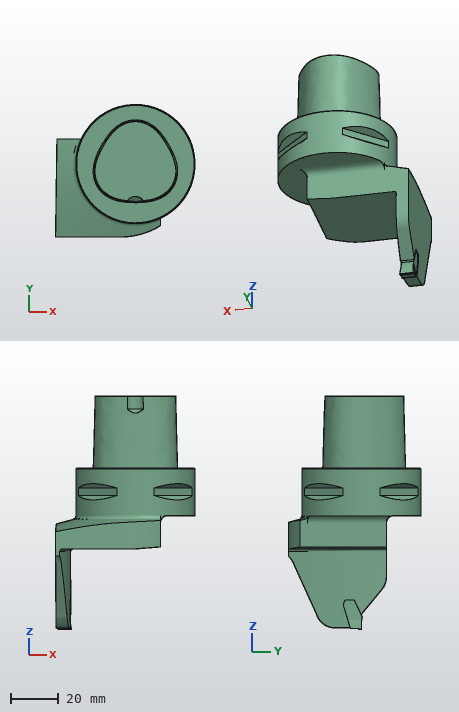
import cadquery as cq
import math

overall_height = 97.6
shank_height = 30.1
shank_mean_radius = 17.4
shank_lobe = 1.2
shank_taper = 0.8
shank_points = 24
notch_radius = 3.9
notch_axis_y = -17.5
notch_depth = 5.5
notch_cone_height = 3.1

flange_radius = 50.0 / 2
flange_height = 20.0
flange_chamfer = 0.4
groove_floor_radius = 22.3
groove_center_z = -10.0
groove_floor_height = 3.0
groove_mouth_height = 6.8
groove_angles = (45, 135, 225, 315)

outer_x_front = -33.5
outer_x_back = -32.9
block_front_y = -30.5
block_back_y = 10.5
block_right_x = 10.5
block_bottom_z = -34.0
block_relief_x = -0.5
block_relief_rise = 0.9
block_front_arc_start_x = -5.3
block_front_arc_mid = (3.4, -29.1)
block_right_front_y = -25.8
root_fillet = 2.9
neck_fillet_radius = 1.6
shoulder_slope = math.radians(15)

blade_inner_x = -27.0
blade_inner_radius = 97.6
blade_inner_center_y = -0.8
blade_bottom_z = -67.0
blade_root_fillet = 1.0
blade_tip_back_y = -0.1
blade_tip_back_z = -61.4
blade_back_arc = ((block_back_y, -45.5), (10.0, -48.5), (8.4, -51.1))
blade_tip_arc = ((-11.6, blade_bottom_z), (-16.1, -65.2), (-18.8, -61.2))
blade_front_arc = ((-28.1, -40.8), (-29.4, -38.3), (block_front_y, -36.9))

insert_outer_x = -32.8
insert_inner_x = -27.4
insert_tip_inner_x = -26.7
insert_flare_z = -63.4
insert_bottom_z = shank_height - overall_height
insert_tip_y = 0.1
insert_heel_y = -1.3
insert_heel_z = -67.2
insert_end_z = -55.2
insert_shoulder = ((insert_tip_y, -63.8), (0.4, -62.5), (blade_tip_back_y, blade_tip_back_z))
insert_end_back_y = -3.0
insert_end_arc = ((-6.7, insert_end_z), (-7.4, -56.8), (-7.2, -58.7))
insert_front_y = -4.6
insert_relief_radius = 3.1
insert_relief_rise = 0.7
insert_relief_depth = 0.3

margin = 9.8
pick_gap = 0.1


def lobed_points(mean_radius):
    points = []
    for i in range(shank_points):
        angle = 2 * math.pi * i / shank_points
        radius = mean_radius + shank_lobe * math.cos(3 * (angle - math.pi / 2))
        points.append((radius * math.cos(angle), radius * math.sin(angle)))
    return points


def make_shank():
    shank = (
        cq.Workplane("XY")
        .spline(lobed_points(shank_mean_radius), periodic=True).close()
        .workplane(offset=shank_height)
        .spline(lobed_points(shank_mean_radius - shank_taper), periodic=True).close()
        .loft(ruled=True)
    )
    notch_bottom = shank_height - notch_depth
    notch = (
        cq.Workplane("XZ")
        .moveTo(0, notch_bottom - notch_cone_height)
        .lineTo(notch_radius, notch_bottom)
        .lineTo(notch_radius, shank_height + margin)
        .lineTo(0, shank_height + margin)
        .close()
        .revolve(360, (0, 0, 0), (0, 1, 0))
        .translate((0, notch_axis_y, 0))
    )
    return shank.cut(notch)


def make_groove(angle):
    slope = (groove_mouth_height - groove_floor_height) / 2 / (flange_radius - groove_floor_radius)
    outer_radius = flange_radius + margin
    outer_half = groove_floor_height / 2 + slope * (outer_radius - groove_floor_radius)
    return (
        cq.Workplane("XZ")
        .polyline([
            (groove_floor_radius, groove_center_z - groove_floor_height / 2),
            (outer_radius, groove_center_z - outer_half),
            (outer_radius, groove_center_z + outer_half),
            (groove_floor_radius, groove_center_z + groove_floor_height / 2),
        ])
        .close()
        .extrude(flange_radius, both=True)
        .rotate((0, 0, 0), (0, 0, 1), angle)
    )


def make_flange():
    flange = cq.Workplane("XY").circle(flange_radius).extrude(-flange_height)
    flange = flange.faces(">Z").chamfer(flange_chamfer)
    for angle in groove_angles:
        flange = flange.cut(make_groove(angle))
    return flange


def make_shoulder_envelope():
    """Turned body: a concave neck fillet running into a shallow conical shoulder."""
    turn = math.pi / 2 - shoulder_slope
    end_radius = flange_radius + neck_fillet_radius * (1 - math.cos(turn))
    end_z = -flange_height - neck_fillet_radius * math.sin(turn)
    mid_radius = flange_radius + neck_fillet_radius * (1 - math.cos(turn / 2))
    mid_z = -flange_height - neck_fillet_radius * math.sin(turn / 2)
    rim_radius = math.hypot(outer_x_front, block_front_y) + margin
    rim_z = end_z - (rim_radius - end_radius) * math.tan(shoulder_slope)
    return (
        cq.Workplane("XZ")
        .moveTo(0, -flange_height)
        .lineTo(flange_radius, -flange_height)
        .threePointArc((mid_radius, mid_z), (end_radius, end_z))
        .lineTo(rim_radius, rim_z)
        .lineTo(rim_radius, insert_bottom_z)
        .lineTo(0, insert_bottom_z)
        .close()
        .revolve(360, (0, 0, 0), (0, 1, 0))
    )


def make_block():
    plan = (
        cq.Workplane("XY").workplane(offset=block_bottom_z)
        .moveTo(outer_x_front, block_front_y)
        .lineTo(block_front_arc_start_x, block_front_y)
        .threePointArc(block_front_arc_mid, (block_right_x, block_right_front_y))
        .lineTo(block_right_x, block_back_y)
        .lineTo(outer_x_back, block_back_y)
        .close()
        .extrude(-block_bottom_z - flange_height)
    )
    underside_relief = (
        cq.Workplane("XZ")
        .moveTo(block_relief_x, block_bottom_z)
        .lineTo(block_right_x, block_bottom_z + block_relief_rise)
        .lineTo(block_right_x, block_bottom_z)
        .close()
        .extrude(-2 * block_front_y, both=True)
    )
    return plan.cut(underside_relief).intersect(make_shoulder_envelope())


def make_root_fillet():
    """Flare where the block's right and back faces run into the flange underside."""
    block = (
        cq.Workplane("XY").workplane(offset=-flange_height)
        .moveTo(outer_x_front, block_front_y)
        .lineTo(block_right_x, block_front_y)
        .lineTo(block_right_x, block_back_y)
        .lineTo(outer_x_front, block_back_y)
        .close()
        .extrude(-2 * root_fillet)
    )
    plate = (
        cq.Workplane("XY").workplane(offset=-flange_height)
        .rect(4 * flange_radius, 4 * flange_radius)
        .extrude(flange_height / 2)
    )
    flared = block.union(plate)
    seam_z = -flange_height
    seam = cq.selectors.BoxSelector(
        (outer_x_front - pick_gap, block_front_y - pick_gap, seam_z - pick_gap),
        (block_right_x + pick_gap, block_back_y + pick_gap, seam_z + pick_gap),
    )
    flared = flared.edges(seam).fillet(root_fillet)
    under_flange = (
        cq.Workplane("XY").workplane(offset=-flange_height)
        .circle(flange_radius).extrude(-root_fillet)
    )
    return flared.intersect(under_flange)


def blade_inner_face_x(y):
    offset = y - blade_inner_center_y
    return blade_inner_x - blade_inner_radius + math.sqrt(blade_inner_radius**2 - offset**2)


def make_blade():
    blade_height = block_bottom_z - blade_bottom_z
    section = (
        cq.Workplane("XY").workplane(offset=blade_bottom_z)
        .moveTo(outer_x_front, block_front_y)
        .lineTo(blade_inner_face_x(block_front_y), block_front_y)
        .threePointArc(
            (blade_inner_x, blade_inner_center_y),
            (blade_inner_face_x(block_back_y), block_back_y),
        )
        .lineTo(outer_x_back, block_back_y)
        .close()
        .extrude(blade_height)
    )
    profile = (
        cq.Workplane("YZ").workplane(offset=outer_x_front - margin)
        .moveTo(block_back_y, block_bottom_z)
        .lineTo(*blade_back_arc[0])
        .threePointArc(*blade_back_arc[1:])
        .lineTo(blade_tip_back_y, blade_tip_back_z)
        .lineTo(blade_tip_back_y, blade_bottom_z)
        .lineTo(*blade_tip_arc[0])
        .threePointArc(*blade_tip_arc[1:])
        .lineTo(*blade_front_arc[0])
        .threePointArc(*blade_front_arc[1:])
        .lineTo(block_front_y, block_bottom_z)
        .close()
        .extrude(-outer_x_front + margin)
    )
    return section.intersect(profile)


def insert_prism(x_start, x_end):
    return (
        cq.Workplane("YZ").workplane(offset=x_start)
        .moveTo(insert_tip_y, insert_bottom_z)
        .lineTo(*insert_shoulder[0])
        .lineTo(*insert_shoulder[1])
        .lineTo(*insert_shoulder[2])
        .lineTo(insert_end_back_y, insert_end_z)
        .lineTo(*insert_end_arc[0])
        .threePointArc(*insert_end_arc[1:])
        .lineTo(insert_front_y, insert_heel_z)
        .lineTo(insert_heel_y, insert_heel_z)
        .lineTo(insert_heel_y, insert_bottom_z)
        .close()
        .extrude(x_end - x_start)
    )


def make_insert():
    thickness = (
        cq.Workplane("XZ")
        .polyline([
            (insert_outer_x, insert_end_z),
            (insert_outer_x, insert_bottom_z),
            (insert_tip_inner_x, insert_bottom_z),
            (insert_inner_x, insert_flare_z),
            (insert_inner_x, insert_end_z),
        ])
        .close()
        .extrude(margin, both=True)
    )
    insert = insert_prism(insert_outer_x, insert_tip_inner_x).intersect(thickness)
    relief = (
        cq.Workplane("YZ").workplane(offset=insert_outer_x)
        .center(insert_tip_y, insert_bottom_z + insert_relief_rise)
        .circle(insert_relief_radius)
        .extrude(insert_relief_depth)
    )
    return insert.cut(relief)


def blade_root_selector():
    """Picks the edge where the blade's inner face meets the block's underside."""
    inner_front_x = blade_inner_face_x(block_front_y)
    return cq.selectors.BoxSelector(
        (inner_front_x, block_front_y + pick_gap, block_bottom_z - pick_gap),
        (blade_inner_x + pick_gap, block_back_y - pick_gap, block_bottom_z + pick_gap),
    )


def make_holder():
    lower = make_block().union(make_blade())
    lower = lower.edges(blade_root_selector()).fillet(blade_root_fillet)
    lower = lower.union(make_root_fillet())
    body = make_flange().union(make_shank()).union(lower)
    pocket = insert_prism(outer_x_front - margin, blade_inner_x + margin)
    return body.cut(pocket)


holder = make_holder()
insert = make_insert()
result = cq.Compound.makeCompound([holder.val(), insert.val()])